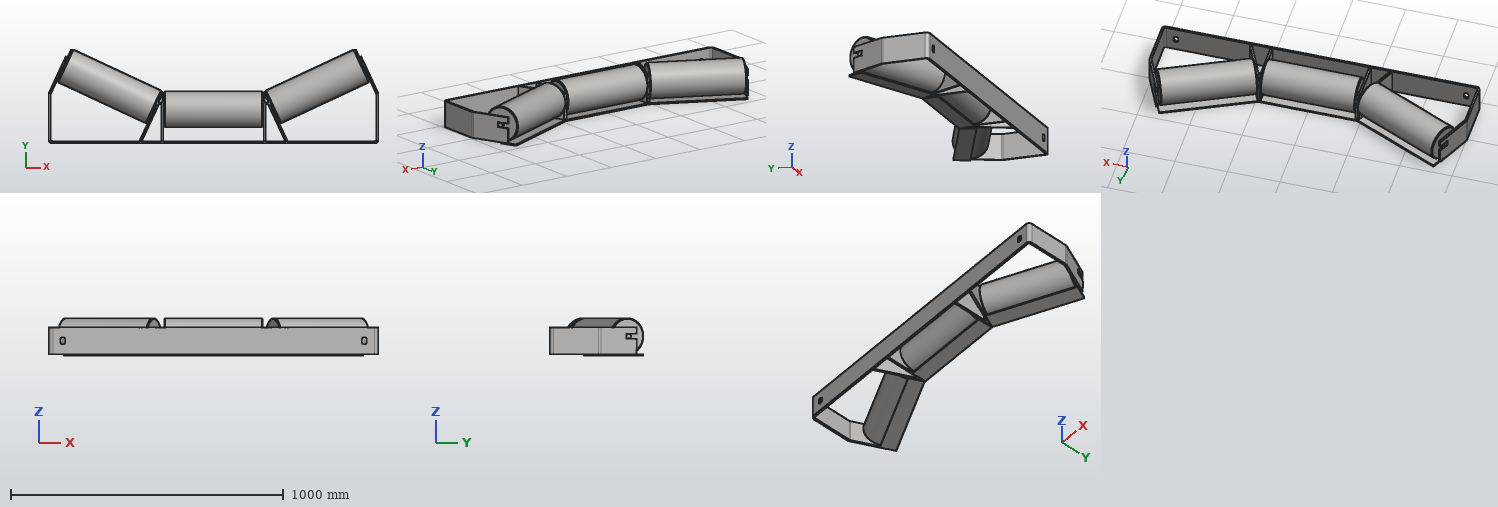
import cadquery as cq
import math

FRAME_LENGTH = 1210.0
FRAME_HEIGHT = 99.0
SHEET = 8.0
CORNER_RADIUS = 15.0
WING_BEND_RADIUS = 19.0
WING_TIP_Y = 320.0
MOUNT_SLOT_LENGTH = 27.0
MOUNT_SLOT_WIDTH = 18.0
MOUNT_SLOT_X = 553.0

ROLLER_RADIUS = 67.0
ROLLER_LENGTH = 360.0
ROLLER_CHAMFER = 4.0
TROUGH_ANGLE = 25.0
MIDDLE_ROLLER_Y = 126.0
SIDE_ROLLER_X = 381.0
SIDE_ROLLER_Y = 209.0
SHAFT_DIAMETER = 19.0
END_GAP = 4.0

STRIP_LENGTH = 370.0
STRIP_WIDTH = 63.0
STRIP_THICKNESS = 6.0

SUPPORT_TOP_Y = 184.0
PRONG_THICKNESS = 7.0
WEB_Y = 144.0

half_length = FRAME_LENGTH / 2
half_roller = ROLLER_LENGTH / 2
sheet_near = half_roller + END_GAP
sheet_far = sheet_near + SHEET
prong_far = half_roller + PRONG_THICKNESS
frame_bottom_z = STRIP_THICKNESS
axis_z = STRIP_THICKNESS + ROLLER_RADIUS
web_back_y = WEB_Y + SHEET
sine = math.sin(math.radians(TROUGH_ANGLE))
cosine = math.cos(math.radians(TROUGH_ANGLE))
tangent = sine / cosine

ROLLER_PLACES = [
    (-SIDE_ROLLER_X, SIDE_ROLLER_Y, -TROUGH_ANGLE),
    (0.0, MIDDLE_ROLLER_Y, 0.0),
    (SIDE_ROLLER_X, SIDE_ROLLER_Y, TROUGH_ANGLE),
]


def put_at_roller(body, place):
    """Move a body built around the origin, with the roller axis along X, to a roller's place."""
    x, y, tilt = place
    return body.rotate((0, 0, 0), (0, 0, 1), tilt).translate((x, y, 0))


def left_plane_x(distance, y):
    """X, at a given y, of the plane square to the left roller's axis, `distance` from its centre."""
    plane_x = -SIDE_ROLLER_X + distance * cosine
    plane_y = SIDE_ROLLER_Y - distance * sine
    return plane_x + (y - plane_y) * tangent


def shaft_slots(place):
    """Cutters for the two open-ended slots that hold the shaft of the roller at a place."""
    slot_depth = 4 * ROLLER_RADIUS
    slot_centre = (half_roller + sheet_far) / 2
    cutters = (
        cq.Workplane("XY")
        .pushPoints([(-slot_centre, 0), (slot_centre, 0)])
        .box(sheet_far - half_roller, slot_depth, SHAFT_DIAMETER)
        .translate((0, (slot_depth - SHAFT_DIAMETER) / 2, axis_z))
    )
    return put_at_roller(cutters, place)


def make_frame():
    wing_rise = (half_length - SIDE_ROLLER_X - sheet_far * cosine) / tangent
    bend_y = SIDE_ROLLER_Y + sheet_far * sine - wing_rise
    tip_x = half_length - (WING_TIP_Y - bend_y) * tangent
    outside = [(-tip_x, WING_TIP_Y), (-half_length, bend_y), (-half_length, 0)]
    inner_bend_y = bend_y - SHEET * math.tan(math.radians(TROUGH_ANGLE / 2))
    inside = [
        (-half_length + SHEET, SHEET),
        (-half_length + SHEET, inner_bend_y),
        (-tip_x + SHEET * cosine, WING_TIP_Y - SHEET * sine),
    ]
    mirrored_outside = [(-x, y) for x, y in reversed(outside)]
    mirrored_inside = [(-x, y) for x, y in reversed(inside)]
    frame = (
        cq.Workplane("XY", origin=(0, 0, frame_bottom_z))
        .polyline(outside + mirrored_outside + mirrored_inside + inside)
        .close()
        .extrude(FRAME_HEIGHT)
    )
    bends = [
        (outside[1], WING_BEND_RADIUS),
        (outside[2], CORNER_RADIUS),
        (inside[0], CORNER_RADIUS - SHEET),
        (inside[1], WING_BEND_RADIUS - SHEET),
    ]
    for (x, y), radius in bends:
        for bend_x in (x, -x):
            edge = cq.selectors.NearestToPointSelector((bend_x, y, axis_z))
            frame = frame.edges("|Z").edges(edge).fillet(radius)

    mount_slots = (
        cq.Workplane("XZ")
        .pushPoints([(side * MOUNT_SLOT_X, frame_bottom_z + FRAME_HEIGHT / 2) for side in (-1, 1)])
        .slot2D(MOUNT_SLOT_LENGTH, MOUNT_SLOT_WIDTH, 90)
        .extrude(-SHEET)
    )
    frame = frame.cut(mount_slots)
    return frame.cut(shaft_slots(ROLLER_PLACES[0])).cut(shaft_slots(ROLLER_PLACES[2]))


def make_support():
    """Left inner support: two legs, a cross web, and two prongs that touch the rollers and meet on top."""
    outline = [
        (left_plane_x(sheet_near, SHEET), SHEET),
        (left_plane_x(sheet_near, WEB_Y), WEB_Y),
        (left_plane_x(half_roller, WEB_Y), WEB_Y),
        (left_plane_x(half_roller, SUPPORT_TOP_Y), SUPPORT_TOP_Y),
        (-half_roller, SUPPORT_TOP_Y),
        (-half_roller, WEB_Y),
        (-sheet_near, WEB_Y),
        (-sheet_near, SHEET),
        (-sheet_far, SHEET),
        (-sheet_far, WEB_Y),
        (left_plane_x(sheet_far, WEB_Y), WEB_Y),
        (left_plane_x(sheet_far, SHEET), SHEET),
    ]
    window_left_x = left_plane_x(prong_far, web_back_y)
    window_peak_y = web_back_y + (-prong_far - window_left_x) / tangent
    window = [(window_left_x, web_back_y), (-prong_far, web_back_y), (-prong_far, window_peak_y)]
    base = cq.Workplane("XY", origin=(0, 0, frame_bottom_z))
    support = base.polyline(outline).close().extrude(FRAME_HEIGHT)
    support = support.cut(base.polyline(window).close().extrude(FRAME_HEIGHT))
    return support.cut(shaft_slots(ROLLER_PLACES[0])).cut(shaft_slots(ROLLER_PLACES[1]))


def make_roller(place):
    shell = (
        cq.Workplane("YZ", origin=(-half_roller, 0, axis_z))
        .circle(ROLLER_RADIUS)
        .extrude(ROLLER_LENGTH)
        .edges()
        .chamfer(ROLLER_CHAMFER)
    )
    shaft = (
        cq.Workplane("YZ", origin=(-sheet_far, 0, axis_z))
        .circle(SHAFT_DIAMETER / 2)
        .extrude(2 * sheet_far)
    )
    return put_at_roller(shell.union(shaft), place)


def make_strip(place):
    """Flat strip below the back half of a roller, touching its underside."""
    strip = cq.Workplane("XY").box(
        STRIP_LENGTH, STRIP_WIDTH, STRIP_THICKNESS, centered=(True, False, False)
    )
    return put_at_roller(strip, place)


frame = make_frame()
left_support = make_support()
supports = [left_support, left_support.mirror("YZ")]
rollers = [make_roller(place) for place in ROLLER_PLACES]
strips = [make_strip(place) for place in ROLLER_PLACES]

result = cq.Compound.makeCompound([body.val() for body in [frame, *supports, *rollers, *strips]])